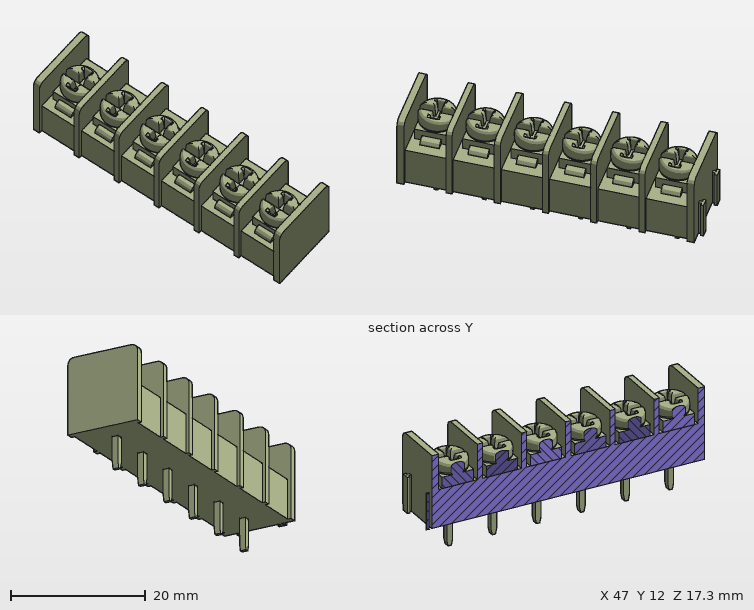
import cadquery as cq

TOTAL_LENGTH = 46.95
CELL_COUNT = 6
CELL_PITCH = 7.45
CELL_CENTERS = [(i - (CELL_COUNT - 1) / 2) * CELL_PITCH for i in range(CELL_COUNT)]

HOUSING_LENGTH = 46.05
BASE_WIDTH = 10.9
BASE_HEIGHT = 6.35
WALL_WIDTH = 12.0
WALL_HEIGHT = 12.25
WALL_CORNER_RADIUS = 1.15
INNER_WALL_THICKNESS = 0.95
END_WALL_THICKNESS = 1.15

RAIL_DEPTH = TOTAL_LENGTH - HOUSING_LENGTH
RAIL_FLANGE_THICKNESS = 0.45
RAIL_FLANGE_WIDTH = 1.3
RAIL_NECK_WIDTH = 0.45
RAIL_HEIGHT = 6.05
RAIL_SPACING = 7.05

PIN_SIZE = 1.0
PIN_Y = -0.15
PIN_LENGTH = 5.05
PIN_TIP_WIDTH = 0.55
PIN_TIP_HEIGHT = 1.0

SCREW_Y = -0.4
BLOCK_LENGTH = 5.35
BLOCK_WIDTH = 5.95
BLOCK_HEIGHT = 1.9
BLOCK_TOP = BASE_HEIGHT + BLOCK_HEIGHT
TONGUE_LENGTH = 3.0
TONGUE_HEIGHT = 0.9
TONGUE_RADIUS = 1.17

HEAD_DIAMETER = 5.8
HEAD_HEIGHT = 2.25
HEAD_TOP = BLOCK_TOP + HEAD_HEIGHT
HEAD_TOP_RADIUS = 1.0
HEAD_RIM_HEIGHT = 0.3
HEAD_RIM_INSET = 0.1

RECESS_DEPTH = 1.95
RECESS_FLOOR_WIDTH = 0.7
RECESS_WALL_WIDTH = 1.15
RECESS_FLOOR_SPAN = 3.25
RECESS_WALL_SPAN = 3.9
RECESS_MOUTH_RADIUS = 0.38
RECESS_END_DROP = 0.1


def box(length, width, height, x=0, y=0, z=0):
    """Box centred on (x, y) whose underside is at z."""
    return cq.Workplane("XY").box(length, width, height, centered=(True, True, False)).translate((x, y, z))


def make_wall(thickness, x):
    wall = box(thickness, WALL_WIDTH, WALL_HEIGHT, x)
    return wall.faces(">Z").edges("|X").fillet(WALL_CORNER_RADIUS)


def make_rail(y):
    wall_face = -HOUSING_LENGTH / 2
    neck = box(RAIL_DEPTH, RAIL_NECK_WIDTH, RAIL_HEIGHT, wall_face - RAIL_DEPTH / 2, y)
    flange_x = wall_face - RAIL_DEPTH + RAIL_FLANGE_THICKNESS / 2
    flange = box(RAIL_FLANGE_THICKNESS, RAIL_FLANGE_WIDTH, RAIL_HEIGHT, flange_x, y)
    return neck.union(flange)


def make_housing():
    housing = box(HOUSING_LENGTH, BASE_WIDTH, BASE_HEIGHT)
    for side in (-1, 1):
        end_wall_x = side * (HOUSING_LENGTH - END_WALL_THICKNESS) / 2
        housing = housing.union(make_wall(END_WALL_THICKNESS, end_wall_x))
        housing = housing.union(make_rail(side * RAIL_SPACING / 2))
    for left_cell_x in CELL_CENTERS[:-1]:
        housing = housing.union(make_wall(INNER_WALL_THICKNESS, left_cell_x + CELL_PITCH / 2))
    for x in CELL_CENTERS:
        housing = housing.cut(box(PIN_SIZE, PIN_SIZE, BASE_HEIGHT, x, PIN_Y))
    return housing


def make_pin():
    """Pin from its chisel tip up to the underside of the block."""
    half = PIN_SIZE / 2
    tip_half = PIN_TIP_WIDTH / 2
    shoulder_z = PIN_TIP_HEIGHT - PIN_LENGTH
    outline = [
        (-half, BASE_HEIGHT),
        (-half, shoulder_z),
        (-tip_half, -PIN_LENGTH),
        (tip_half, -PIN_LENGTH),
        (half, shoulder_z),
        (half, BASE_HEIGHT),
    ]
    pin = cq.Workplane("XZ").polyline(outline).close().extrude(half, both=True)
    return pin.translate((0, PIN_Y, 0))


def make_block():
    block = box(BLOCK_LENGTH, BLOCK_WIDTH, BLOCK_HEIGHT, 0, SCREW_Y, BASE_HEIGHT)
    axis_z = BASE_HEIGHT + TONGUE_HEIGHT - TONGUE_RADIUS
    for side in (-1, 1):
        tongue = (
            cq.Workplane("YZ")
            .center(SCREW_Y + side * BLOCK_WIDTH / 2, axis_z)
            .circle(TONGUE_RADIUS)
            .extrude(TONGUE_LENGTH / 2, both=True)
        )
        block = block.union(tongue)
    below_block = box(HOUSING_LENGTH, WALL_WIDTH, BASE_HEIGHT)
    return block.cut(below_block)


def flared_channel(plane, floor_width, wall_width, mouth_z):
    """Channel across the whole head, drawn on plane; its walls flare out in rounds up to mouth_z."""
    floor_z = HEAD_TOP - RECESS_DEPTH
    round_z = mouth_z - RECESS_MOUTH_RADIUS
    top_z = HEAD_TOP + RECESS_MOUTH_RADIUS
    floor_half = floor_width / 2
    wall_half = wall_width / 2
    mouth_half = wall_half + RECESS_MOUTH_RADIUS
    return (
        cq.Workplane(plane)
        .moveTo(-floor_half, floor_z)
        .lineTo(floor_half, floor_z)
        .lineTo(wall_half, round_z)
        .radiusArc((mouth_half, mouth_z), RECESS_MOUTH_RADIUS)
        .lineTo(mouth_half, top_z)
        .lineTo(-mouth_half, top_z)
        .lineTo(-mouth_half, mouth_z)
        .radiusArc((-wall_half, round_z), RECESS_MOUTH_RADIUS)
        .close()
        .extrude(HEAD_DIAMETER / 2, both=True)
    )


def make_recess():
    """Cross cutter: one arm runs through along X, the other closes at both ends along Y."""
    end_z = HEAD_TOP - RECESS_END_DROP
    through_arm = flared_channel("YZ", RECESS_FLOOR_WIDTH, RECESS_WALL_WIDTH, HEAD_TOP)
    closed_arm = flared_channel("XZ", RECESS_FLOOR_WIDTH, RECESS_WALL_WIDTH, HEAD_TOP)
    lowered_arm = flared_channel("XZ", RECESS_FLOOR_WIDTH, RECESS_WALL_WIDTH, end_z)
    middle = box(HEAD_DIAMETER, RECESS_FLOOR_SPAN, 2 * HEAD_HEIGHT, z=BLOCK_TOP)
    closed_arm = closed_arm.intersect(middle).union(lowered_arm.cut(middle))
    end_limits = flared_channel("YZ", RECESS_FLOOR_SPAN, RECESS_WALL_SPAN, end_z)
    return through_arm.union(closed_arm.intersect(end_limits))


def make_head():
    head = cq.Workplane("XY", origin=(0, 0, BLOCK_TOP)).circle(HEAD_DIAMETER / 2).extrude(HEAD_HEIGHT)
    head = head.faces(">Z").edges().fillet(HEAD_TOP_RADIUS)
    head = head.faces("<Z").edges().chamfer(HEAD_RIM_HEIGHT, HEAD_RIM_INSET)
    return head.cut(make_recess()).translate((0, SCREW_Y, 0))


def make_terminal(x):
    terminal = make_pin().union(make_block()).union(make_head())
    return terminal.translate((x, 0, 0))


housing = make_housing()
terminals = [make_terminal(x) for x in CELL_CENTERS]
result = cq.Compound.makeCompound([housing.val(), *[terminal.val() for terminal in terminals]])